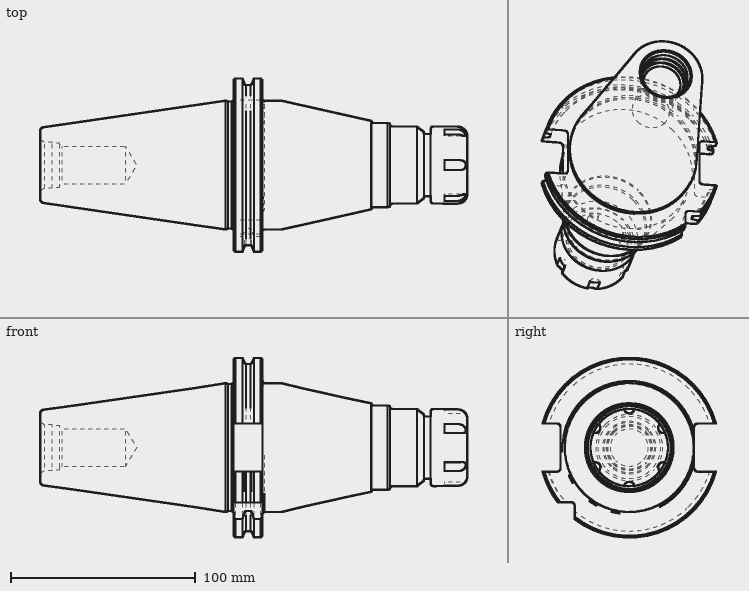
import cadquery as cq
import math

TOTAL_LENGTH = 231.5
TAPER_END = 100.5
RELIEF_START = 102.0
FLANGE_START = 105.0
FLANGE_END = 120.5
COLLAR_END = 130.9
NOSE_CONE_END = 179.3
STEP_START = 180.5
STEP_END = 189.7
SHANK_END = 204.3
NECK_START = 208.0
NUT_START = 211.7

TAPER_RATIO = 7 / 48
TAPER_RADIUS = 35.0
SMALL_RADIUS = TAPER_RADIUS - TAPER_RATIO * TAPER_END
RELIEF_RADIUS = 34.5
FLANGE_RADIUS = 97.5 / 2
NOSE_CONE_RADIUS = 24.0
STEP_RADIUS = 23.0
SHANK_RADIUS = 42.0 / 2
SHANK_TIP_RADIUS = 18.0
NECK_RADIUS = 17.0

TAPER_ROUND = 2.3
FLANGE_FILLET = 1.2
FLANGE_CHAMFER = 1.0
STEP_CHAMFER_LENGTH = 1.5
STEP_CHAMFER_DEPTH = 0.5
SHOULDER_FILLET = 1.2
NOSE_CHAMFER = 0.5
SHANK_CHAMFER = 0.7
NECK_FILLET = 0.7

RIM_CLEARANCE = 2.3

GROOVE_CENTRE = 112.8
GROOVE_RADIUS = 45.5
GROOVE_RIM_WIDTH = 6.3
GROOVE_FLOOR_WIDTH = 3.5
GROOVE_FILLET = 0.7

DRIVE_SLOT_WIDTH = 26.0
DEEP_SLOT_FLOOR = 35.2
SHALLOW_SLOT_FLOOR = 37.3
DRIVE_SLOT_ROUND = 1.9
CORNER_NOTCH_OFFSET = 29.6
CORNER_NOTCH_ROUND = 1.9

FLANGE_CUT_START = FLANGE_START - FLANGE_FILLET
FLANGE_CUT_LENGTH = FLANGE_END + FLANGE_FILLET - FLANGE_CUT_START

BORE_MOUTH_RADIUS = 14.4
BORE_COUNTERSINK_RADIUS = 13.7
BORE_PILOT_RADIUS = 12.5
BORE_PILOT_DEPTH = 6.5
BORE_RELIEF_RADIUS = 12.0
BORE_RELIEF_DEPTH = 10.5
BORE_CHAMFER_RADIUS = 11.5
BORE_THREAD_RADIUS = 10.2
BORE_DEPTH = 46.3
MOUTH_CONE_ANGLE = 120.0
COUNTERSINK_ANGLE = 60.0
THREAD_CHAMFER_ANGLE = 90.0
DRILL_POINT_ANGLE = 118.0

NUT_RADIUS = 42.0 / 2
NUT_BACK_ROUND = 1.5
NUT_FRONT_ROUND = 5.5
NUT_SLOT_COUNT = 6
NUT_SLOT_START = 219.0
NUT_SLOT_RADIUS = 2.8
NUT_SLOT_CENTRE_RADIUS = 21.3
NUT_SLOT_FIRST_ANGLE = 30.0


def revolve_about_x(outline):
    """Turn a closed half outline, drawn as (x, radius), into a solid about the X axis."""
    return outline.close().revolve(360, (0, 0, 0), (1, 0, 0))


def fillet_point(centre_x, centre_r, radius, angle):
    """Point on a round at the given angle in degrees from +X towards growing radius."""
    turn = math.radians(angle)
    return (centre_x + radius * math.cos(turn), centre_r + radius * math.sin(turn))


def holder_blank():
    """Turned outer shape, with flange fillets, without bore, groove or flange cuts."""
    left_fillet = (FLANGE_START - FLANGE_FILLET, RELIEF_RADIUS + FLANGE_FILLET)
    right_fillet = (FLANGE_END + FLANGE_FILLET, TAPER_RADIUS + FLANGE_FILLET)
    nose_fillet_radius = STEP_START - NOSE_CONE_END - NOSE_CHAMFER
    nose_fillet = (STEP_START, STEP_RADIUS + nose_fillet_radius)
    shoulder_fillet = (STEP_END + SHOULDER_FILLET, SHANK_RADIUS + SHOULDER_FILLET)
    neck_fillet = (NECK_START + NECK_FILLET, NECK_RADIUS + NECK_FILLET)
    outline = (
        cq.Workplane("XY")
        .moveTo(0, 0)
        .lineTo(0, SMALL_RADIUS)
        .lineTo(TAPER_END, TAPER_RADIUS)
        .lineTo(RELIEF_START, RELIEF_RADIUS)
        .lineTo(left_fillet[0], RELIEF_RADIUS)
        .threePointArc(
            fillet_point(*left_fillet, FLANGE_FILLET, -45),
            (FLANGE_START, left_fillet[1]),
        )
        .lineTo(FLANGE_START, FLANGE_RADIUS - FLANGE_CHAMFER)
        .lineTo(FLANGE_START + FLANGE_CHAMFER, FLANGE_RADIUS)
        .lineTo(FLANGE_END - FLANGE_CHAMFER, FLANGE_RADIUS)
        .lineTo(FLANGE_END, FLANGE_RADIUS - FLANGE_CHAMFER)
        .lineTo(FLANGE_END, right_fillet[1])
        .threePointArc(
            fillet_point(*right_fillet, FLANGE_FILLET, -135),
            (right_fillet[0], TAPER_RADIUS),
        )
        .lineTo(COLLAR_END, TAPER_RADIUS)
        .lineTo(NOSE_CONE_END, NOSE_CONE_RADIUS)
        .lineTo(nose_fillet[0] - nose_fillet_radius, nose_fillet[1])
        .threePointArc(
            fillet_point(*nose_fillet, nose_fillet_radius, -135),
            (STEP_START, STEP_RADIUS),
        )
        .lineTo(STEP_END - STEP_CHAMFER_LENGTH, STEP_RADIUS)
        .lineTo(STEP_END, STEP_RADIUS - STEP_CHAMFER_DEPTH)
        .lineTo(STEP_END, shoulder_fillet[1])
        .threePointArc(
            fillet_point(*shoulder_fillet, SHOULDER_FILLET, -135),
            (shoulder_fillet[0], SHANK_RADIUS),
        )
        .lineTo(SHANK_END, SHANK_RADIUS)
        .lineTo(SHANK_END + SHANK_CHAMFER, SHANK_RADIUS - SHANK_CHAMFER)
        .lineTo(NECK_START, SHANK_TIP_RADIUS)
        .lineTo(NECK_START, neck_fillet[1])
        .threePointArc(
            fillet_point(*neck_fillet, NECK_FILLET, -135),
            (neck_fillet[0], NECK_RADIUS),
        )
        .lineTo(NUT_START, NECK_RADIUS)
        .lineTo(NUT_START, 0)
    )
    return revolve_about_x(outline).faces("<X").edges().fillet(TAPER_ROUND)


def gripper_groove():
    """Ring with slanted walls that cuts the groove into the flange rim."""
    rim_half = GROOVE_RIM_WIDTH / 2
    floor_half = GROOVE_FLOOR_WIDTH / 2
    wall_slope = (rim_half - floor_half) / (FLANGE_RADIUS - GROOVE_RADIUS)
    top_radius = FLANGE_RADIUS + RIM_CLEARANCE
    top_half = rim_half + wall_slope * RIM_CLEARANCE
    outline = cq.Workplane("XY").polyline([
        (GROOVE_CENTRE - floor_half, GROOVE_RADIUS),
        (GROOVE_CENTRE + floor_half, GROOVE_RADIUS),
        (GROOVE_CENTRE + top_half, top_radius),
        (GROOVE_CENTRE - top_half, top_radius),
    ])
    ring = revolve_about_x(outline)
    floor_edges = cq.selectors.RadiusNthSelector(0)
    return ring.edges("%CIRCLE").edges(floor_edges).fillet(GROOVE_FILLET)


def drive_slot(floor_distance, side):
    """Cutter for one drive slot; side is +1 for the +Y slot and -1 for the -Y slot."""
    depth = FLANGE_RADIUS - floor_distance + RIM_CLEARANCE
    return (
        cq.Workplane("XY")
        .box(FLANGE_CUT_LENGTH, depth, DRIVE_SLOT_WIDTH, centered=(False, False, True))
        .edges("|X and <Y")
        .fillet(DRIVE_SLOT_ROUND)
        .translate((FLANGE_CUT_START, floor_distance, 0))
        .rotate((0, 0, 0), (1, 0, 0), 0 if side > 0 else 180)
    )


def corner_notch():
    """Cutter for the square notch in the rim on the -Y, -Z side."""
    size = FLANGE_RADIUS - CORNER_NOTCH_OFFSET
    return (
        cq.Workplane("XY")
        .box(FLANGE_CUT_LENGTH, size, size, centered=False)
        .edges("|X and <Y and <Z")
        .fillet(CORNER_NOTCH_ROUND)
        .translate((FLANGE_CUT_START, CORNER_NOTCH_OFFSET, CORNER_NOTCH_OFFSET))
        .rotate((0, 0, 0), (1, 0, 0), 180)
    )


def cone_length(radius_change, included_angle):
    """Axial length of a cone with the given included angle in degrees."""
    return radius_change / math.tan(math.radians(included_angle / 2))


def drawbar_bore():
    """Stepped blind bore with a double-angle mouth and a drill point."""
    mouth_depth = cone_length(BORE_MOUTH_RADIUS - BORE_COUNTERSINK_RADIUS, MOUTH_CONE_ANGLE)
    countersink_length = cone_length(BORE_COUNTERSINK_RADIUS - BORE_PILOT_RADIUS, COUNTERSINK_ANGLE)
    chamfer_length = cone_length(BORE_CHAMFER_RADIUS - BORE_THREAD_RADIUS, THREAD_CHAMFER_ANGLE)
    point_length = cone_length(BORE_THREAD_RADIUS, DRILL_POINT_ANGLE)
    outline = cq.Workplane("XY").polyline([
        (0, 0),
        (0, BORE_MOUTH_RADIUS),
        (mouth_depth, BORE_COUNTERSINK_RADIUS),
        (mouth_depth + countersink_length, BORE_PILOT_RADIUS),
        (BORE_PILOT_DEPTH, BORE_PILOT_RADIUS),
        (BORE_PILOT_DEPTH, BORE_RELIEF_RADIUS),
        (BORE_RELIEF_DEPTH, BORE_RELIEF_RADIUS),
        (BORE_RELIEF_DEPTH, BORE_CHAMFER_RADIUS),
        (BORE_RELIEF_DEPTH + chamfer_length, BORE_THREAD_RADIUS),
        (BORE_DEPTH, BORE_THREAD_RADIUS),
        (BORE_DEPTH + point_length, 0),
    ])
    return revolve_about_x(outline)


def make_holder():
    return (
        holder_blank()
        .cut(gripper_groove())
        .cut(drive_slot(DEEP_SLOT_FLOOR, +1))
        .cut(drive_slot(SHALLOW_SLOT_FLOOR, -1))
        .cut(corner_notch())
        .cut(drawbar_bore())
    )


def nut_slot(angle):
    """Round-bottomed wrench slot, open towards the front of the nut."""
    return (
        cq.Workplane("YZ", origin=(NUT_SLOT_START, 0, 0))
        .center(NUT_SLOT_CENTRE_RADIUS, 0)
        .circle(NUT_SLOT_RADIUS)
        .extrude(TOTAL_LENGTH - NUT_SLOT_START)
        .rotate((0, 0, 0), (1, 0, 0), angle)
    )


def make_nut():
    nut = (
        cq.Workplane("YZ", origin=(NUT_START, 0, 0))
        .circle(NUT_RADIUS)
        .extrude(TOTAL_LENGTH - NUT_START)
        .faces("<X").edges().fillet(NUT_BACK_ROUND)
        .faces(">X").edges().fillet(NUT_FRONT_ROUND)
    )
    for index in range(NUT_SLOT_COUNT):
        nut = nut.cut(nut_slot(NUT_SLOT_FIRST_ANGLE + index * 360 / NUT_SLOT_COUNT))
    return nut


holder = make_holder()
collet_nut = make_nut()

result = cq.Compound.makeCompound([holder.val(), collet_nut.val()])